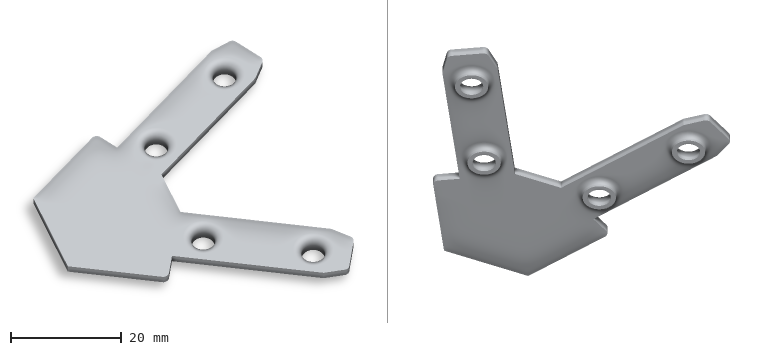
import cadquery as cq
import math

plate_thickness = 1.6
base_half_width = 8.27
body_half_width = 17.0
notch_height = 23.4
corner_radius = 1.0

arm_angle = math.radians(120)
arm_width = 10.0
arm_center = 2.76
body_shoulder = 22.4
taper_start = 50.0
arm_end = 54.35
tip_width = 7.08

hole_stations = (27.4, 47.4)
hole_diameter = 4.2
mouth_radius = 1.5
boss_diameter = 6.0
boss_height = 1.4
boss_fillet = 1.0


def arm_point(along, across):
    """Convert left-arm coordinates to plate X, Y."""
    x = along * math.cos(arm_angle) + across * math.sin(arm_angle)
    y = along * math.sin(arm_angle) - across * math.cos(arm_angle)
    return (x, y)


def make_plate():
    outer = arm_center - arm_width / 2
    inner = arm_center + arm_width / 2
    tip_outer = arm_center - tip_width / 2
    tip_inner = arm_center + tip_width / 2
    notch_along = (notch_height + inner * math.cos(arm_angle)) / math.sin(arm_angle)

    base_corner = (-base_half_width, 0)
    flare_end = (-body_half_width, (base_half_width - body_half_width) * math.tan(arm_angle))
    shoulder_y = (body_shoulder + body_half_width * math.cos(arm_angle)) / math.sin(arm_angle)
    shoulder_corner = (-body_half_width, shoulder_y)
    tip_corners = [arm_point(arm_end, tip_outer), arm_point(arm_end, tip_inner)]
    left_side = [
        base_corner,
        flare_end,
        shoulder_corner,
        arm_point(body_shoulder, outer),
        arm_point(taper_start, outer),
        *tip_corners,
        arm_point(taper_start, inner),
        arm_point(notch_along, inner),
    ]
    right_side = [(-x, y) for x, y in reversed(left_side)]
    plate = cq.Workplane("XY").polyline(left_side + right_side).close().extrude(plate_thickness)

    for x, y in [shoulder_corner, *tip_corners]:
        for corner_x in (x, -x):
            corner = cq.selectors.NearestToPointSelector((corner_x, y, plate_thickness / 2))
            plate = plate.edges(corner).fillet(corner_radius)
    return plate


def make_boss():
    """Boss below the plate, flaring into the underside; its top is buried in the plate."""
    radius = boss_diameter / 2
    flare_radius = radius + boss_fillet
    embed = plate_thickness / 2
    arc_offset = boss_fillet * (1 - math.sqrt(0.5))
    return (
        cq.Workplane("XZ")
        .moveTo(0, -boss_height)
        .lineTo(radius, -boss_height)
        .lineTo(radius, -boss_fillet)
        .threePointArc((radius + arc_offset, -arc_offset), (flare_radius, 0))
        .lineTo(flare_radius, embed)
        .lineTo(0, embed)
        .close()
        .revolve(360, (0, 0), (0, 1))
    )


def make_hole():
    """Through hole with a rounded mouth at the top face."""
    radius = hole_diameter / 2
    arc_offset = mouth_radius * (1 - math.sqrt(0.5))
    return (
        cq.Workplane("XZ")
        .moveTo(0, -boss_height)
        .lineTo(radius, -boss_height)
        .lineTo(radius, plate_thickness - mouth_radius)
        .threePointArc(
            (radius + arc_offset, plate_thickness - arc_offset),
            (radius + mouth_radius, plate_thickness),
        )
        .lineTo(0, plate_thickness)
        .close()
        .revolve(360, (0, 0), (0, 1))
    )


result = make_plate()
for station in hole_stations:
    x, y = arm_point(station, arm_center)
    for hole_x in (x, -x):
        position = (hole_x, y, 0)
        result = result.union(make_boss().translate(position))
        result = result.cut(make_hole().translate(position))